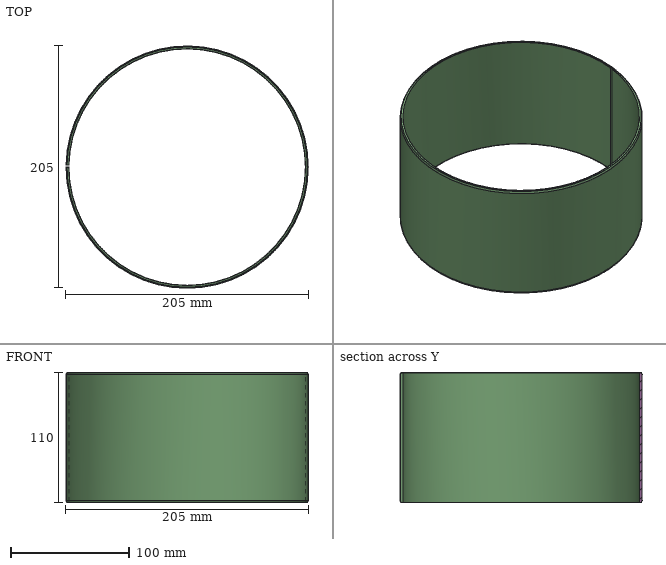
import cadquery as cq

outer_diameter = 205.0
height = 110.0
wall = 2.5
slit_width = 1.6

bevel_width = 0.8
bevel_height = 1.6

outer_radius = outer_diameter / 2
inner_radius = outer_radius - wall
rim_radius = outer_radius - bevel_width


def ring():
    """Revolve the wall section, bevelled on its outer corners, about Z."""
    section = [
        (inner_radius, 0),
        (rim_radius, 0),
        (outer_radius, bevel_height),
        (outer_radius, height - bevel_height),
        (rim_radius, height),
        (inner_radius, height),
    ]
    return cq.Workplane("XZ").polyline(section).close().revolve(360, (0, 0, 0), (0, 1, 0))


def slit():
    """Full-height cutter through the -X wall only, with one face on the Y = 0 plane."""
    cutter_length = 4 * wall
    cutter = cq.Workplane("XY").box(cutter_length, slit_width, height, centered=(True, False, False))
    return cutter.translate((-outer_radius, 0, 0))


result = ring().cut(slit())